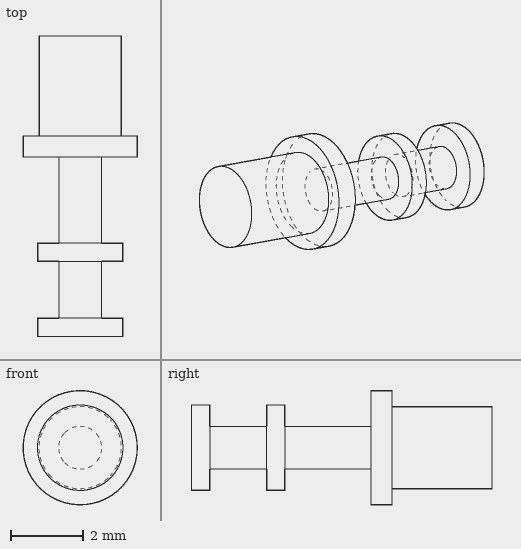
import cadquery as cq

flange_diameter = 3.17
shank_diameter = 2.28
collar_diameter = 2.37
stem_diameter = 1.19

overall_length = 8.33
flange_thickness = 0.59
collar_thickness = 0.508
rear_stem_length = 2.38
front_stem_length = 1.575
shank_length = (
    overall_length
    - flange_thickness
    - rear_stem_length
    - front_stem_length
    - 2 * collar_thickness
)

sections = [
    (shank_diameter, shank_length),
    (flange_diameter, flange_thickness),
    (stem_diameter, rear_stem_length),
    (collar_diameter, collar_thickness),
    (stem_diameter, front_stem_length),
    (collar_diameter, collar_thickness),
]


def cylinder_toward_minus_y(diameter, length, start_y):
    """Solid cylinder on the Y axis, running from start_y toward -Y."""
    return (
        cq.Workplane("XZ", origin=(0, start_y, 0))
        .circle(diameter / 2)
        .extrude(length)
    )


def build_terminal():
    """Stack the sections end to end and fuse them into one solid."""
    start_y = shank_length + flange_thickness
    terminal = cq.Workplane("XZ")
    for diameter, length in sections:
        terminal = terminal.union(cylinder_toward_minus_y(diameter, length, start_y))
        start_y -= length
    return terminal


result = build_terminal()